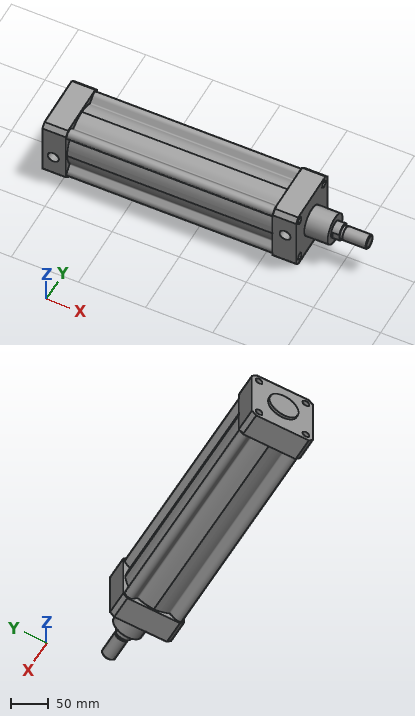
import cadquery as cq
import math


overall_length = 468.0
spigot_length = 4.0
cover_thickness = 35.0
rod_reach = 86.0
head_front = overall_length - rod_reach
head_back = head_front - cover_thickness
cap_back = spigot_length
cap_front = cap_back + cover_thickness
barrel_length = head_back - cap_front

cover_size = 94.0
corner_chamfer = 6.5
spigot_diameter = 45.0
screw_offset = 36.0
screw_diameter = 10.5
port_diameter = 16.5
port_depth = 16.5
port_height = 9.5
port_inset = 16.5

collar_length = 34.5

barrel_radius = 43.0
ridge_half_width = 9.5
lobe_offset = 37.0
lobe_radius = 7.5
lobe_root_fillet = 2.5

rod_diameter = 25.0
across_flats = 22.5
flat_length = 10.0
thread_length = 35.5
thread_diameter = 20.5
thread_chamfer = 1.15
undercut_length = 4.0
undercut_diameter = 18.5


def cylinder_x(start, length, diameter):
    """A cylinder along X on the main axis."""
    return cq.Workplane("YZ").workplane(offset=start).circle(diameter / 2).extrude(length)


def make_cover(back, port_x, port_z):
    """A chamfered square block with four screw holes and a port in its -Y side."""
    block = (
        cq.Workplane("YZ").workplane(offset=back)
        .rect(cover_size, cover_size).extrude(cover_thickness)
        .edges("|X").chamfer(corner_chamfer)
    )
    screw_holes = (
        cq.Workplane("YZ").workplane(offset=back)
        .rect(2 * screw_offset, 2 * screw_offset, forConstruction=True).vertices()
        .circle(screw_diameter / 2).extrude(cover_thickness)
    )
    port = (
        cq.Workplane("XZ", origin=(port_x, -cover_size / 2, port_z))
        .circle(port_diameter / 2).extrude(-port_depth)
    )
    return block.cut(screw_holes).cut(port)


def make_cap():
    """The rear block with a short centring spigot on its -X face."""
    block = make_cover(cap_back, cap_back + port_inset, -port_height)
    return block.union(cylinder_x(0, cap_back, spigot_diameter))


def make_head():
    """The front block with a bearing collar, bored through for the rod."""
    block = make_cover(head_back, head_front - port_inset, port_height)
    collar = cylinder_x(head_front, collar_length, spigot_diameter)
    rod_bore = cylinder_x(head_back, overall_length - head_back, rod_diameter)
    return block.union(collar).cut(rod_bore)


def make_barrel():
    """A round body with a shallow ridge on each side and a round-ended lobe on each diagonal."""
    body = cylinder_x(cap_front, barrel_length, 2 * barrel_radius)

    slope = math.asin(ridge_half_width / barrel_radius)
    tangent_y = barrel_radius * math.cos(slope)
    ridge_y = barrel_radius / math.cos(slope)
    ridge = (
        cq.Workplane("YZ").workplane(offset=cap_front)
        .polyline([(0, 0), (tangent_y, -ridge_half_width), (ridge_y, 0), (tangent_y, ridge_half_width)])
        .close().extrude(barrel_length)
    )
    lobe_reach = lobe_offset * math.sqrt(2)
    lobe = (
        cq.Workplane("YZ").workplane(offset=cap_front)
        .moveTo(0, -lobe_radius).lineTo(lobe_reach, -lobe_radius)
        .threePointArc((lobe_reach + lobe_radius, 0), (lobe_reach, lobe_radius))
        .lineTo(0, lobe_radius).close().extrude(barrel_length)
    )
    for quarter_turn in (0, 90, 180, 270):
        body = body.union(ridge.rotate((0, 0, 0), (1, 0, 0), quarter_turn))
        body = body.union(lobe.rotate((0, 0, 0), (1, 0, 0), quarter_turn + 45))

    root_y = math.sqrt(barrel_radius**2 - lobe_radius**2)
    root_near = (root_y - lobe_radius) / math.sqrt(2)
    root_far = (root_y + lobe_radius) / math.sqrt(2)
    mid_x = cap_front + barrel_length / 2
    for side_y in (-1, 1):
        for side_z in (-1, 1):
            for y, z in ((root_near, root_far), (root_far, root_near)):
                root = cq.selectors.NearestToPointSelector((mid_x, side_y * y, side_z * z))
                body = body.edges("|X").edges(root).fillet(lobe_root_fillet)
    return body


def make_rod():
    """A stepped round rod: shank, undercut and chamfered thread, with two wrench flats."""
    thread_start = overall_length - thread_length
    undercut_start = thread_start - undercut_length
    rod_radius = rod_diameter / 2
    undercut_radius = undercut_diameter / 2
    thread_radius = thread_diameter / 2
    turned = (
        cq.Workplane("XZ").moveTo(head_back, 0)
        .lineTo(head_back, rod_radius)
        .lineTo(undercut_start, rod_radius)
        .lineTo(undercut_start, undercut_radius)
        .lineTo(thread_start, undercut_radius)
        .lineTo(thread_start, thread_radius)
        .lineTo(overall_length - thread_chamfer, thread_radius)
        .lineTo(overall_length, thread_radius - thread_chamfer)
        .lineTo(overall_length, 0)
        .close().revolve(360, (0, 0, 0), (1, 0, 0))
    )
    flats = (
        cq.Workplane("XY").box(flat_length, 2 * rod_diameter, rod_diameter)
        .cut(cq.Workplane("XY").box(flat_length, across_flats, rod_diameter))
        .translate((undercut_start - flat_length / 2, 0, 0))
    )
    return turned.cut(flats)


cap = make_cap()
barrel = make_barrel()
head = make_head()
rod = make_rod()

result = cq.Compound.makeCompound([cap.val(), barrel.val(), head.val(), rod.val()])